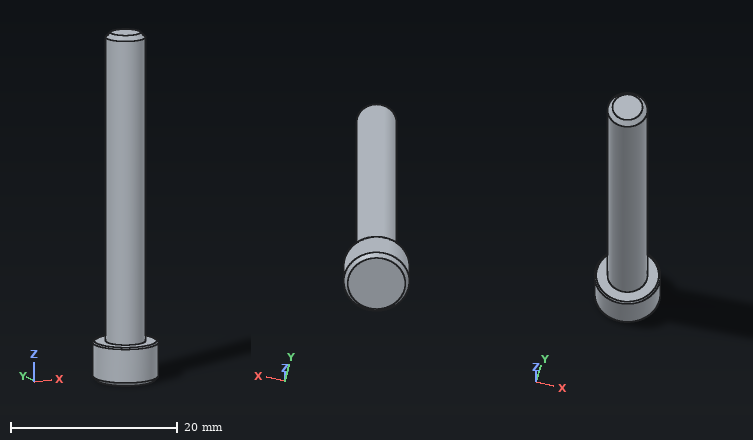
import cadquery as cq

INCH = 25.4

head_diameter = 0.3125 * INCH
head_height = 0.190 * INCH
shank_diameter = 0.190 * INCH
shank_length = 1.5 * INCH

tip_chamfer = 0.6
head_end_chamfer = 0.5
bearing_edge_chamfer = 0.2


def make_head():
    """Cylindrical head below Z = 0, chamfered on its outer end and bearing face edges."""
    head = cq.Workplane("XY").circle(head_diameter / 2).extrude(-head_height)
    head = head.faces("<Z").chamfer(head_end_chamfer)
    return head.faces(">Z").chamfer(bearing_edge_chamfer)


def make_shank():
    """Plain cylindrical shank above the bearing face with a chamfered tip."""
    shank = cq.Workplane("XY").circle(shank_diameter / 2).extrude(shank_length)
    return shank.faces(">Z").chamfer(tip_chamfer)


result = make_head().union(make_shank())